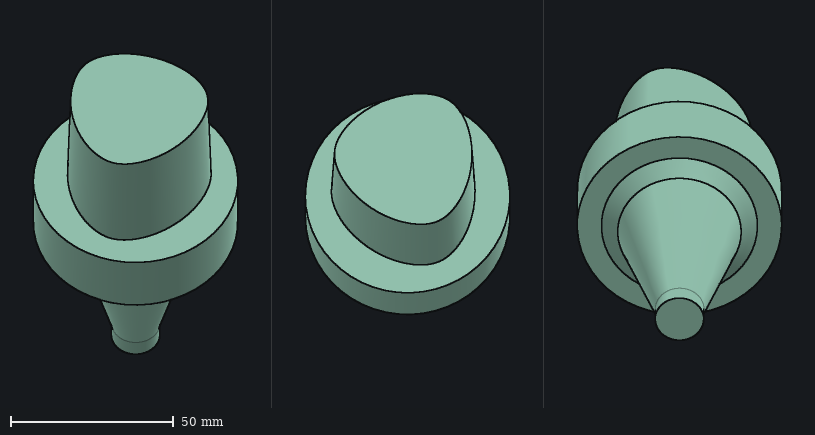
import cadquery as cq
import math

shank_height = 38.0
flange_thickness = 22.0
overall_length = 118.0
collar_height = 3.8
tip_length = 6.3

flange_radius = 62.98 / 2
collar_top_radius = 24.0
cone_top_radius = 19.0
tip_radius = 15.0 / 2

shank_base_width = 44.2
shank_taper = 1 / 20
lobe_amplitude = 1.4
lobe_count = 3
first_lobe_angle = -math.pi / 2
points_per_lobe = 16

flange_bottom = -flange_thickness
collar_bottom = flange_bottom - collar_height
tip_bottom = shank_height - overall_length
cone_bottom = tip_bottom + tip_length


def lobed_point(angle, width):
    """Point of a constant-width lobed curve whose outward normal lies at the given angle."""
    phase = lobe_count * (angle - first_lobe_angle)
    reach = width / 2 + lobe_amplitude * math.cos(phase)
    slide = -lobe_count * lobe_amplitude * math.sin(phase)
    x = reach * math.cos(angle) - slide * math.sin(angle)
    y = reach * math.sin(angle) + slide * math.cos(angle)
    return (x, y)


def lobed_outline(plane, width):
    """Closed smooth lobed outline, starting at the lobe along -Y."""
    point_count = lobe_count * points_per_lobe
    step = 2 * math.pi / point_count
    points = [lobed_point(first_lobe_angle + i * step, width) for i in range(point_count)]
    return plane.spline(points, periodic=True).close()


def make_shank():
    """Solid lofted between the lobed outlines at the flange face and at the free end."""
    shank_top_width = shank_base_width - shank_taper * shank_height
    base = lobed_outline(cq.Workplane("XY"), shank_base_width)
    both = lobed_outline(base.workplane(offset=shank_height), shank_top_width)
    return both.loft(ruled=True)


def make_turned_body():
    """Flange, collar chamfer, long cone and cylindrical tip, revolved about Z."""
    profile = (
        cq.Workplane("XZ")
        .lineTo(flange_radius, 0)
        .lineTo(flange_radius, flange_bottom)
        .lineTo(collar_top_radius, flange_bottom)
        .lineTo(cone_top_radius, collar_bottom)
        .lineTo(tip_radius, cone_bottom)
        .lineTo(tip_radius, tip_bottom)
        .lineTo(0, tip_bottom)
        .close()
    )
    return profile.revolve(360, (0, 0, 0), (0, 1, 0))


result = make_turned_body().union(make_shank())